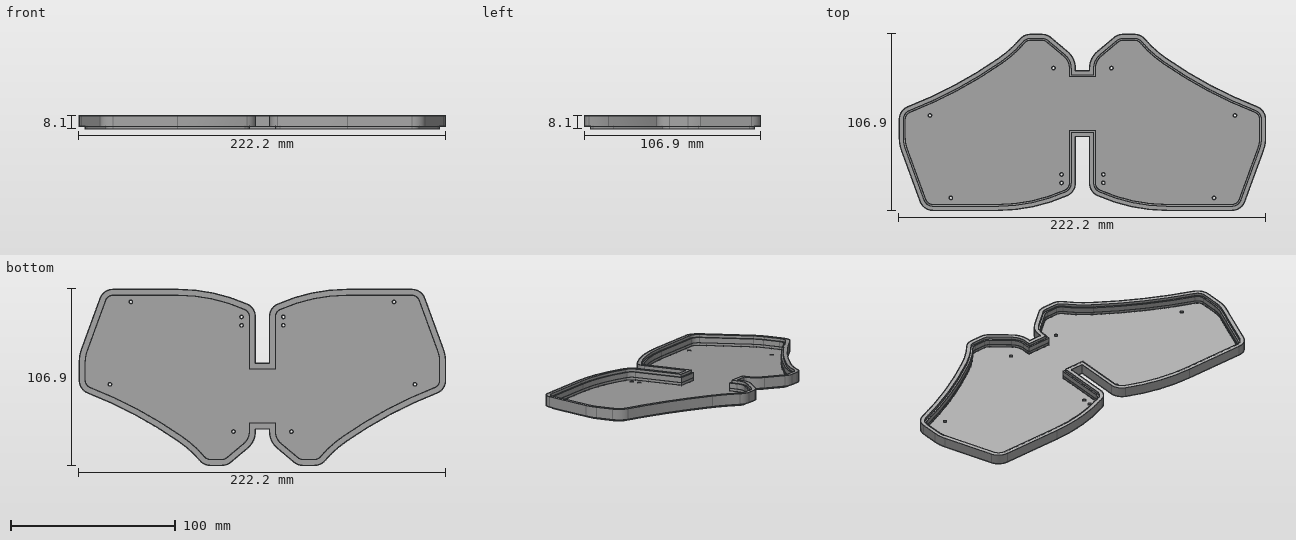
import cadquery as cq
import math

LENGTH = 222.2
WIDTH = 106.9
HALF_LENGTH = LENGTH / 2
HALF_WIDTH = WIDTH / 2

PLATE_THICKNESS = 1.6
FRAME_HEIGHT = 6.5

CAVITY_LENGTH = 214.9
REBATE_LENGTH = 217.0
REBATE_DEPTH = 1.65
WALL = (LENGTH - CAVITY_LENGTH) / 2
LIP = (LENGTH - REBATE_LENGTH) / 2
RECESS_CLEARANCE = 0.05
RECESS_DEPTH = PLATE_THICKNESS

SLOT_HALF_WIDTH = 4.2
SLOT_END_Y = -8.7
NOTCH_END_Y = 31.3

REAR_FLAT_RIGHT_X = -21.5
REAR_FLAT_LEFT_X = -35.5
REAR_SLOPE_ANGLE = 39.9
SWEEP_JOINT = (-51.0, 38.7)
SHORT_SWEEP_SAGITTA = 0.9
LONG_SWEEP_SAGITTA = 2.18

TIP_TOP_Y = 7.5
TIP_BEND_Y = -13.3
FRONT_LEFT_X = -96.5
FRONT_ARC_START_X = -51.5
FRONT_ARC_RADIUS = 104.0

CORNER_RADIUS = 8.5
TIP_BEND_RADIUS = 22.2
NOTCH_CORNER_RADIUS = 13.3

HOLE_DIAMETER = 2.0
HOLE_CENTERS = [(-92.5, 4.2), (-17.5, 32.9), (-79.8, -45.8), (-12.7, -31.5), (-12.7, -36.7)]

slope_run = -SLOT_HALF_WIDTH - REAR_FLAT_RIGHT_X
notch_corner_y = HALF_WIDTH - slope_run * math.tan(math.radians(REAR_SLOPE_ANGLE))


def front_arc_y(x):
    """Y of the front arc, which leaves the straight front edge tangentially."""
    run = x - FRONT_ARC_START_X
    return -HALF_WIDTH + FRONT_ARC_RADIUS - math.sqrt(FRONT_ARC_RADIUS**2 - run**2)


slot_corner_y = front_arc_y(-SLOT_HALF_WIDTH)
front_arc_middle_x = (FRONT_ARC_START_X - SLOT_HALF_WIDTH) / 2

ROUNDED_CORNERS = [
    (-SLOT_HALF_WIDTH, notch_corner_y, NOTCH_CORNER_RADIUS),
    (REAR_FLAT_RIGHT_X, HALF_WIDTH, CORNER_RADIUS),
    (REAR_FLAT_LEFT_X, HALF_WIDTH, CORNER_RADIUS),
    (-HALF_LENGTH, TIP_TOP_Y, CORNER_RADIUS),
    (-HALF_LENGTH, TIP_BEND_Y, TIP_BEND_RADIUS),
    (FRONT_LEFT_X, -HALF_WIDTH, CORNER_RADIUS),
    (-SLOT_HALF_WIDTH, slot_corner_y, CORNER_RADIUS),
]


def sharp_outline():
    """Outline with sharp corners: the left wing, mirrored about the Y axis."""
    return (
        cq.Workplane("XY")
        .moveTo(0, NOTCH_END_Y)
        .lineTo(-SLOT_HALF_WIDTH, NOTCH_END_Y)
        .lineTo(-SLOT_HALF_WIDTH, notch_corner_y)
        .lineTo(REAR_FLAT_RIGHT_X, HALF_WIDTH)
        .lineTo(REAR_FLAT_LEFT_X, HALF_WIDTH)
        .sagittaArc(SWEEP_JOINT, SHORT_SWEEP_SAGITTA)
        .sagittaArc((-HALF_LENGTH, TIP_TOP_Y), LONG_SWEEP_SAGITTA)
        .lineTo(-HALF_LENGTH, TIP_BEND_Y)
        .lineTo(FRONT_LEFT_X, -HALF_WIDTH)
        .lineTo(FRONT_ARC_START_X, -HALF_WIDTH)
        .threePointArc(
            (front_arc_middle_x, front_arc_y(front_arc_middle_x)),
            (-SLOT_HALF_WIDTH, slot_corner_y),
        )
        .lineTo(-SLOT_HALF_WIDTH, SLOT_END_Y)
        .lineTo(0, SLOT_END_Y)
        .mirrorY()
    )


def rounded_outline():
    """Outer outline of the frame as a wire, with its corners rounded on both wings."""
    blank = sharp_outline().extrude(FRAME_HEIGHT)
    for x, y, radius in ROUNDED_CORNERS:
        for corner_x in (x, -x):
            corner = cq.NearestToPointSelector((corner_x, y, FRAME_HEIGHT / 2))
            blank = blank.edges("|Z").edges(corner).fillet(radius)
    return blank.faces("<Z").wires().val()


OUTLINE = rounded_outline()


def slab(inset, bottom, height):
    """Flat slab whose outline lies the given inset inside the outer outline."""
    wire = OUTLINE.offset2D(-inset, "intersection")[0] if inset else OUTLINE
    base = cq.Workplane("XY").add(wire).toPending()
    return base.extrude(height).translate((0, 0, bottom))


def make_frame():
    """Wall around the outline, with a rebate at its inner top edge and a plate recess at its bottom."""
    bottom = PLATE_THICKNESS
    top = bottom + FRAME_HEIGHT
    cavity = slab(WALL, bottom, FRAME_HEIGHT)
    rebate = slab(LIP, top - REBATE_DEPTH, REBATE_DEPTH)
    recess = slab(WALL - RECESS_CLEARANCE, bottom, RECESS_DEPTH)
    return slab(0, bottom, FRAME_HEIGHT).cut(cavity).cut(rebate).cut(recess)


def make_plate():
    """Flat plate that closes the opening of the frame from below, with screw holes on both wings."""
    centers = HOLE_CENTERS + [(-x, y) for x, y in HOLE_CENTERS]
    holes = cq.Workplane("XY").pushPoints(centers).circle(HOLE_DIAMETER / 2).extrude(PLATE_THICKNESS)
    return slab(WALL, 0, PLATE_THICKNESS).cut(holes)


frame = make_frame()
plate = make_plate()

result = cq.Compound.makeCompound([frame.val(), plate.val()])